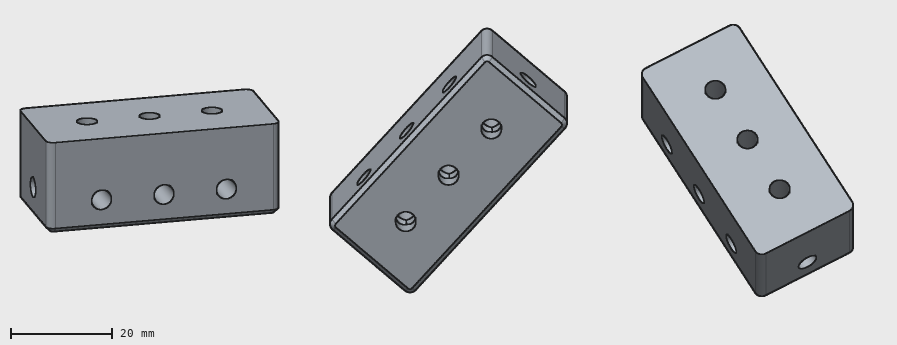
import cadquery as cq

width = 22.0
length = 47.4
height = 18.8
corner_radius = 1.5
bottom_chamfer = 1.0

hole_diameter = 4.05
hole_pitch = 12.7
side_hole_height = 6.1
hole_offsets = [-hole_pitch, 0, hole_pitch]


def make_block():
    """Solid plug with rounded upright corners and a chamfered lower rim."""
    block = cq.Workplane("XY").box(width, length, height, centered=(True, True, False))
    return block.edges("|Z").fillet(corner_radius).faces("<Z").chamfer(bottom_chamfer)


def make_hole(direction, position, depth):
    """Round cutter centred on position, reaching depth / 2 each way along direction."""
    plane = cq.Plane(origin=position, normal=direction)
    return cq.Workplane(plane).circle(hole_diameter / 2).extrude(depth / 2, both=True)


result = make_block()

for y in hole_offsets:
    result = result.cut(make_hole((0, 0, 1), (0, y, height / 2), height))
    result = result.cut(make_hole((1, 0, 0), (0, y, side_hole_height), width))

result = result.cut(make_hole((0, 1, 0), (0, 0, side_hole_height), length))